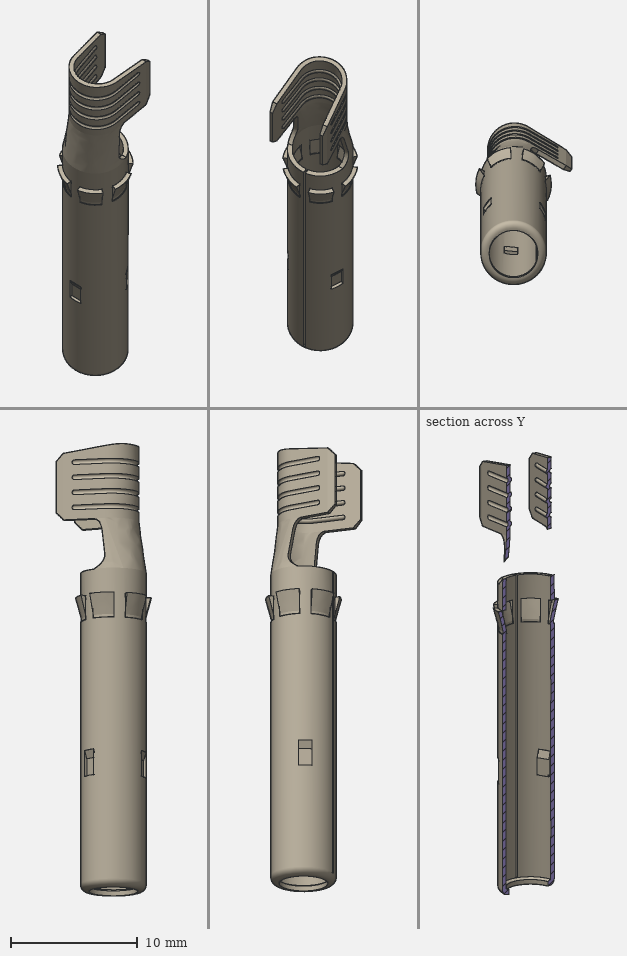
import cadquery as cq
import math

WALL = 0.4
TOTAL_HEIGHT = 35.65
ROLL_ANGLE = -7.0
MARGIN = 0.35

TUBE_RADIUS = 2.6
TUBE_TOP = 25.53
TUBE_BORE = TUBE_RADIUS - WALL
LIP_HEIGHT = 0.55
LIP_INSET = 0.3
SEAM_WIDTH = 0.15

TAB_COUNT = 6
TAB_SPAN = 40.0
TAB_BOTTOM = 21.6
TAB_FOOT = 0.2
TAB_TOP = 23.53
TAB_TIP_RADIUS = 3.0
TAB_ROOT_DEPTH = 0.07

LANCE_COUNT = 3
LANCE_WIDTH = 1.07
LANCE_BOTTOM = 9.02
LANCE_TOP = 11.1
LANCE_BEND = 10.45
LANCE_DEPTH = 0.2

CRIMP_BOTTOM = 29.63
CRIMP_RADIUS = 2.17
CRIMP_SHIFT = 0.15
WING_FLARE = 5.0
WING_LENGTH = 4.03
TIP_LENGTH = 0.6
TIP_THINNING = 0.15
SLOPE_START = -1.32
SLOPE_DROP = 0.68

GROOVE_COUNT = 4
GROOVE_FIRST = 30.6
GROOVE_PITCH = 1.2
GROOVE_RADIUS = 0.195
GROOVE_DEPTH = 0.15
GROOVE_REACH = 2.5

NECK_WING = 1.07
NECK_FOLD = -37.0
NECK_END = 20.0
NECK_CUT_LOW_Y = 0.8
NECK_CUT_HIGH_Y = 0.85
NECK_WAIST = (-0.1, 26.75)
NECK_THROAT_TOP = (0.18, 28.65)


def polar(radius, angle, shift=0.0):
    """Point at an angle in degrees on a circle centred at (0, shift)."""
    turn = math.radians(angle)
    return (radius * math.cos(turn), shift + radius * math.sin(turn))


def mirrored(point):
    return (-point[0], point[1])


def wing_point(radius, distance):
    """Point on the +X wing, a distance beyond its tangent point with the U arc."""
    start = polar(radius, -WING_FLARE, CRIMP_SHIFT)
    along = polar(distance, 90 - WING_FLARE)
    return (start[0] + along[0], start[1] + along[1])


def u_bottom(radius):
    return (0, CRIMP_SHIFT - radius)


def make_barrel():
    inset = TUBE_RADIUS - LIP_HEIGHT
    bend = LIP_HEIGHT * (1 - math.sqrt(0.5))
    lip_radius = TUBE_BORE - LIP_INSET
    return (
        cq.Workplane("XZ")
        .moveTo(lip_radius, 0)
        .lineTo(inset, 0)
        .threePointArc((TUBE_RADIUS - bend, bend), (TUBE_RADIUS, LIP_HEIGHT))
        .lineTo(TUBE_RADIUS, TUBE_TOP)
        .lineTo(TUBE_BORE, TUBE_TOP)
        .lineTo(TUBE_BORE, LIP_HEIGHT)
        .lineTo(lip_radius, WALL)
        .close()
        .revolve(360, (0, 0, 0), (0, 1, 0))
    )


def make_seam():
    """Narrow joint of the rolled sheet, above the closed rounded end."""
    seam_height = TUBE_TOP - LIP_HEIGHT
    return (
        cq.Workplane("XY")
        .box(SEAM_WIDTH, TUBE_RADIUS + MARGIN, seam_height, centered=(True, False, False))
        .translate((0, 0, LIP_HEIGHT))
    )


def ring_sector(outline, start_angle):
    """Revolve an (R, Z) outline through one tab span."""
    sector = cq.Workplane("XZ").polyline(outline).close().revolve(TAB_SPAN, (0, 0, 0), (0, 1, 0))
    return sector.rotate((0, 0, 0), (0, 0, 1), start_angle)


def add_tabs(body):
    root = TUBE_RADIUS - TAB_ROOT_DEPTH
    window = [
        (TUBE_BORE - MARGIN, TAB_BOTTOM),
        (TAB_TIP_RADIUS, TAB_BOTTOM),
        (TAB_TIP_RADIUS, TAB_TOP),
        (TUBE_BORE - MARGIN, TAB_TOP),
    ]
    tab = [
        (root - WALL, TAB_BOTTOM),
        (root, TAB_BOTTOM),
        (root, TAB_BOTTOM + TAB_FOOT),
        (TAB_TIP_RADIUS, TAB_TOP),
        (TAB_TIP_RADIUS - WALL, TAB_TOP),
        (root - WALL, TAB_BOTTOM + TAB_FOOT),
    ]
    for index in range(TAB_COUNT):
        angle = index * 360 / TAB_COUNT - TAB_SPAN / 2
        body = body.cut(ring_sector(window, angle)).union(ring_sector(tab, angle))
    return body


def crimp_outline():
    """Closed U outline with thinned wing tips."""
    inner = CRIMP_RADIUS - WALL
    outer_start = wing_point(CRIMP_RADIUS, 0)
    outer_end = wing_point(CRIMP_RADIUS, WING_LENGTH - TIP_LENGTH)
    tip_outer = wing_point(CRIMP_RADIUS - TIP_THINNING, WING_LENGTH)
    tip_inner = wing_point(inner, WING_LENGTH)
    inner_start = wing_point(inner, 0)
    return (
        cq.Workplane("XY")
        .workplane(offset=CRIMP_BOTTOM)
        .moveTo(*mirrored(tip_outer))
        .lineTo(*mirrored(outer_end))
        .lineTo(*mirrored(outer_start))
        .threePointArc(u_bottom(CRIMP_RADIUS), outer_start)
        .lineTo(*outer_end)
        .lineTo(*tip_outer)
        .lineTo(*tip_inner)
        .lineTo(*inner_start)
        .threePointArc(u_bottom(inner), mirrored(inner_start))
        .lineTo(*mirrored(tip_inner))
        .close()
    )


def crimp_side():
    """Side silhouette of the crimp: sloping top and bevelled wing corners."""
    tip_y = wing_point(CRIMP_RADIUS, WING_LENGTH)[1]
    bevel_y = tip_y - TIP_LENGTH
    slope_end = TOTAL_HEIGHT - SLOPE_DROP
    outline = [
        (-CRIMP_RADIUS - MARGIN, CRIMP_BOTTOM),
        (bevel_y, CRIMP_BOTTOM),
        (tip_y, CRIMP_BOTTOM + TIP_LENGTH),
        (tip_y, slope_end - TIP_LENGTH),
        (bevel_y, slope_end),
        (SLOPE_START, TOTAL_HEIGHT),
        (-CRIMP_RADIUS - MARGIN, TOTAL_HEIGHT),
    ]
    return cq.Workplane("YZ").polyline(outline).close().extrude(2 * CRIMP_RADIUS, both=True)


def serration(radius, height):
    """Round bar with ball ends that follows the U at a given radius and height."""
    start = wing_point(radius, 0)
    end = wing_point(radius, GROOVE_REACH)
    path = (
        cq.Workplane("XY")
        .workplane(offset=height)
        .moveTo(*mirrored(end))
        .lineTo(*mirrored(start))
        .threePointArc(u_bottom(radius), start)
        .lineTo(*end)
    )
    along = polar(1, 90 - WING_FLARE)
    section = cq.Plane(origin=(*mirrored(end), height), xDir=(0, 0, 1), normal=(along[0], -along[1], 0))
    bar = cq.Workplane(section).circle(GROOVE_RADIUS).sweep(path)
    for x, y in (end, mirrored(end)):
        bar = bar.union(cq.Workplane("XY").sphere(GROOVE_RADIUS).translate((x, y, height)))
    return bar


def make_crimp():
    crimp = crimp_outline().extrude(TOTAL_HEIGHT - CRIMP_BOTTOM).intersect(crimp_side())
    bar_offset = GROOVE_RADIUS - GROOVE_DEPTH
    for index in range(GROOVE_COUNT):
        height = GROOVE_FIRST + index * GROOVE_PITCH
        crimp = crimp.union(serration(CRIMP_RADIUS - WALL + bar_offset, height))
        crimp = crimp.cut(serration(CRIMP_RADIUS + bar_offset, height))
    return crimp


def neck_barrel_section(workplane):
    """Open ring at the barrel, split at the fold lines to match the crimp U."""
    middle = (NECK_FOLD + NECK_END) / 2

    def ring(radius):
        return [polar(radius, angle) for angle in (NECK_FOLD, middle, NECK_END)]

    fold, side, end = ring(TUBE_RADIUS)
    inner_fold, inner_side, inner_end = ring(TUBE_BORE)
    return (
        workplane.moveTo(*mirrored(end))
        .threePointArc(mirrored(side), mirrored(fold))
        .threePointArc((0, -TUBE_RADIUS), fold)
        .threePointArc(side, end)
        .lineTo(*inner_end)
        .threePointArc(inner_side, inner_fold)
        .threePointArc((0, -TUBE_BORE), mirrored(inner_fold))
        .threePointArc(mirrored(inner_side), mirrored(inner_end))
        .close()
    )


def neck_crimp_section(workplane):
    """The crimp U with short wing stubs."""
    inner = CRIMP_RADIUS - WALL
    start = wing_point(CRIMP_RADIUS, 0)
    end = wing_point(CRIMP_RADIUS, NECK_WING)
    inner_start = wing_point(inner, 0)
    inner_end = wing_point(inner, NECK_WING)
    return (
        workplane.moveTo(*mirrored(end))
        .lineTo(*mirrored(start))
        .threePointArc(u_bottom(CRIMP_RADIUS), start)
        .lineTo(*end)
        .lineTo(*inner_end)
        .lineTo(*inner_start)
        .threePointArc(u_bottom(inner), mirrored(inner_start))
        .lineTo(*mirrored(inner_end))
        .close()
    )


def neck_cutout():
    """Rounded side opening above the barrel, through both sides of the neck."""
    low = (NECK_CUT_LOW_Y, TUBE_TOP)
    high = (NECK_CUT_HIGH_Y, CRIMP_BOTTOM)
    far = TUBE_RADIUS + MARGIN
    throat = (NECK_THROAT_TOP[0] - NECK_WAIST[0], NECK_THROAT_TOP[1] - NECK_WAIST[1])
    return (
        cq.Workplane("YZ")
        .moveTo(far, TUBE_TOP)
        .lineTo(*low)
        .spline([NECK_WAIST], tangents=[(-1, 0.5), throat], includeCurrent=True)
        .lineTo(*NECK_THROAT_TOP)
        .spline([high], tangents=[throat, (1, 0.3)], includeCurrent=True)
        .lineTo(far, CRIMP_BOTTOM)
        .close()
        .extrude(2 * TUBE_RADIUS, both=True)
    )


def make_neck():
    section = neck_barrel_section(cq.Workplane("XY").workplane(offset=TUBE_TOP))
    section = neck_crimp_section(section.workplane(offset=CRIMP_BOTTOM - TUBE_TOP))
    return section.loft(ruled=True, combine=True).cut(neck_cutout())


def add_lances(body):
    """Windows with a strip that bends inward from the upper end."""
    surface = TUBE_RADIUS * math.cos(math.asin(LANCE_WIDTH / 2 / TUBE_RADIUS))
    window = (
        cq.Workplane("XY")
        .box(LANCE_WIDTH, 2 * WALL, LANCE_TOP - LANCE_BOTTOM, centered=(True, False, False))
        .translate((0, -TUBE_RADIUS - WALL / 2, LANCE_BOTTOM))
    )
    strip = (
        cq.Workplane("YZ")
        .moveTo(-surface, LANCE_TOP)
        .lineTo(-surface + LANCE_DEPTH, LANCE_BEND)
        .lineTo(-surface + LANCE_DEPTH, LANCE_BOTTOM)
        .lineTo(-surface + LANCE_DEPTH + WALL, LANCE_BOTTOM)
        .lineTo(-surface + LANCE_DEPTH + WALL, LANCE_BEND)
        .lineTo(-surface + WALL, LANCE_TOP)
        .close()
        .extrude(LANCE_WIDTH / 2, both=True)
    )
    for index in range(LANCE_COUNT):
        angle = index * 360 / LANCE_COUNT
        body = body.cut(window.rotate((0, 0, 0), (0, 0, 1), angle))
        body = body.union(strip.rotate((0, 0, 0), (0, 0, 1), angle))
    return body


barrel = add_lances(add_tabs(make_barrel().cut(make_seam())))
contact = barrel.union(make_neck()).union(make_crimp())
result = contact.rotate((0, 0, 0), (0, 0, 1), ROLL_ANGLE)